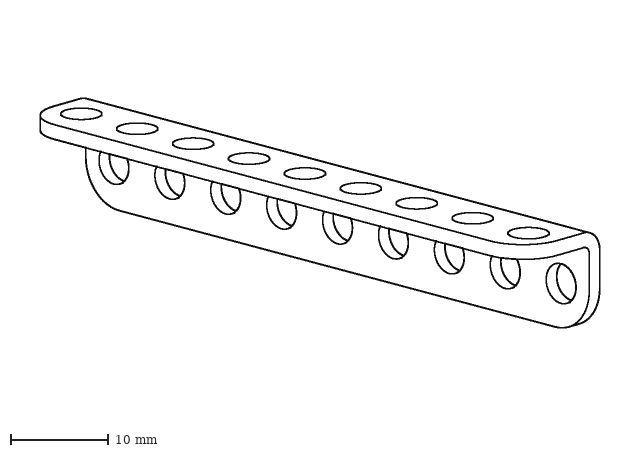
import cadquery as cq

length = 72.0
flange_width = 11.2
thickness = 1.6

inner_bend_radius = 0.8
outer_bend_radius = inner_bend_radius + thickness

corner_radius = 4.8
hole_count = 9
hole_pitch = 8.0
hole_diameter = 4.25

half_width = flange_width / 2
hole_row = -half_width + corner_radius


def angle_blank():
    """Bent sheet: horizontal flange on top, vertical flange at the +Y side."""
    outer = cq.Workplane("XY").box(length, flange_width, flange_width)
    outer = outer.edges(">Y and >Z").fillet(outer_bend_radius)
    inner = (
        cq.Workplane("XY")
        .box(length, flange_width, flange_width)
        .translate((0, -thickness, -thickness))
        .edges(">Y and >Z")
        .fillet(inner_bend_radius)
    )
    return outer.cut(inner)


def flange_holes(plane):
    """Row of round cutters normal to the given plane."""
    return (
        cq.Workplane(plane)
        .center(0, hole_row)
        .rarray(hole_pitch, 0.7, hole_count, 1)
        .circle(hole_diameter / 2)
        .extrude(flange_width, both=True)
    )


result = angle_blank()
result = result.edges("|Z and <Y").fillet(corner_radius)
result = result.edges("|Y and <Z").fillet(corner_radius)

for flange_plane in ("XY", "XZ"):
    result = result.cut(flange_holes(flange_plane))